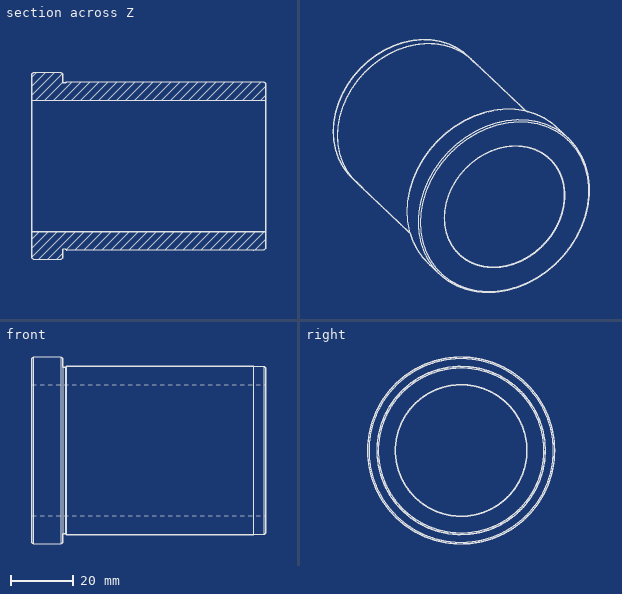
import cadquery as cq

length = 75.0
bore_diameter = 42.0
body_diameter = 54.0
flange_diameter = 60.0
flange_thickness = 10.0

edge_chamfer = 0.5
bore_chamfer = 0.15
relief_width = 1.1
relief_depth = 0.3

pilot_length = 4.0
pilot_reduction = 0.1

flange_radius = flange_diameter / 2
body_radius = body_diameter / 2
pilot_radius = body_radius - pilot_reduction / 2


def cylinder(start, end, radius):
    """Solid cylinder along X between two stations."""
    return cq.Workplane("YZ", origin=(start, 0, 0)).circle(radius).extrude(end - start)


flange = cylinder(0, flange_thickness, flange_radius).edges().chamfer(edge_chamfer)

body_start = flange_thickness + relief_width
pilot_start = length - pilot_length
relief = cylinder(flange_thickness, body_start, body_radius - relief_depth)
shoulder_start = body_start - relief_depth
body = cylinder(shoulder_start, pilot_start, body_radius).edges("<X").chamfer(relief_depth)
pilot = cylinder(pilot_start, length, pilot_radius).edges(">X").chamfer(edge_chamfer)

bore = cylinder(0, length, bore_diameter / 2)

bushing = flange.union(relief).union(body).union(pilot).cut(bore)

result = bushing.faces("<X or >X").edges(cq.selectors.RadiusNthSelector(0)).chamfer(bore_chamfer)